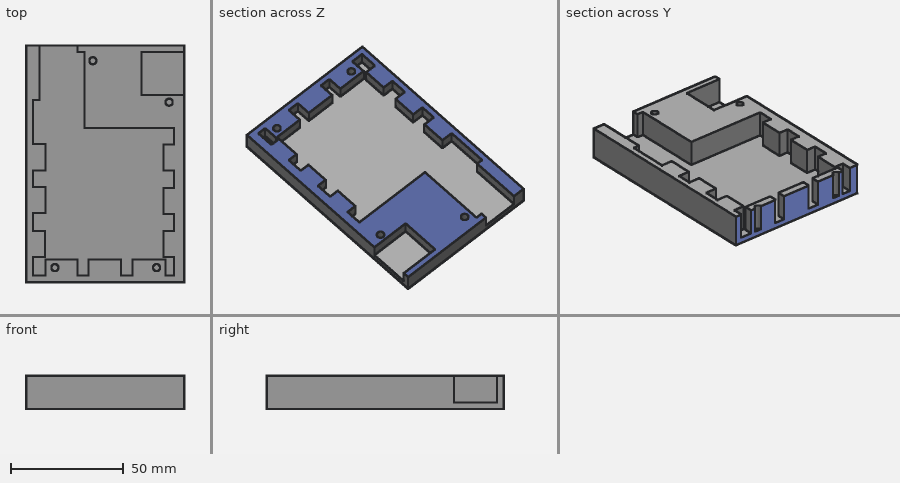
import cadquery as cq

width = 70.2
length = 105.3
height = 14.9

floor = 3.0
wall = 3.0
right_wall = 4.5
pocket_right = width - right_wall
pocket_back = length - wall

wide_part_back = 68.6
channel_right = 25.9

opening_left = 6.0
opening_right = 22.8
left_ledge_front = 81.0

notch_left = 51.3
notch_front = 83.3

left_teeth = [(11.3, 22.8, 8.3), (30.7, 42.4, 8.6), (49.6, 61.5, 8.6)]
right_tooth_reach = 61.0
right_teeth = [(11.3, 22.8), (30.4, 41.8), (49.6, 61.2)]
front_tooth_reach = 10.2
front_teeth = [(8.6, 22.8), (27.7, 42.0), (47.3, 61.8)]

hole_diameter = 3.2
front_hole_y = 6.5
hole_centers = [(12.7, front_hole_y), (57.9, front_hole_y), (63.5, 80.0), (29.6, 98.4)]


def block(x_start, x_end, y_start, y_end, z_start=floor):
    """Box between the given limits, reaching up to the top face."""
    size = (x_end - x_start, y_end - y_start, height - z_start)
    return cq.Workplane("XY").box(*size, centered=False).translate((x_start, y_start, z_start))


def pocket():
    """Space of the L-shaped pocket, with the ledge and all teeth left standing."""
    space = block(wall, pocket_right, wall, wide_part_back)
    space = space.union(block(wall, channel_right, wall, pocket_back))
    space = space.union(block(opening_left, opening_right, wide_part_back, length))
    space = space.cut(block(wall, opening_left, left_ledge_front, length))
    for start, end, reach in left_teeth:
        space = space.cut(block(wall, reach, start, end))
    for start, end in right_teeth:
        space = space.cut(block(right_tooth_reach, pocket_right, start, end))
    for start, end in front_teeth:
        space = space.cut(block(start, end, wall, front_tooth_reach))
    return space


def corner_notch():
    """Space of the rectangular notch near the back right corner."""
    return block(notch_left, width, notch_front, pocket_back)


def screw_holes():
    """Cylinders from the floor level up to the top face."""
    bottom = cq.Workplane("XY").workplane(offset=floor)
    return bottom.pushPoints(hole_centers).circle(hole_diameter / 2).extrude(height - floor)


body = block(0, width, 0, length, z_start=0)
result = body.cut(pocket()).cut(corner_notch()).cut(screw_holes())